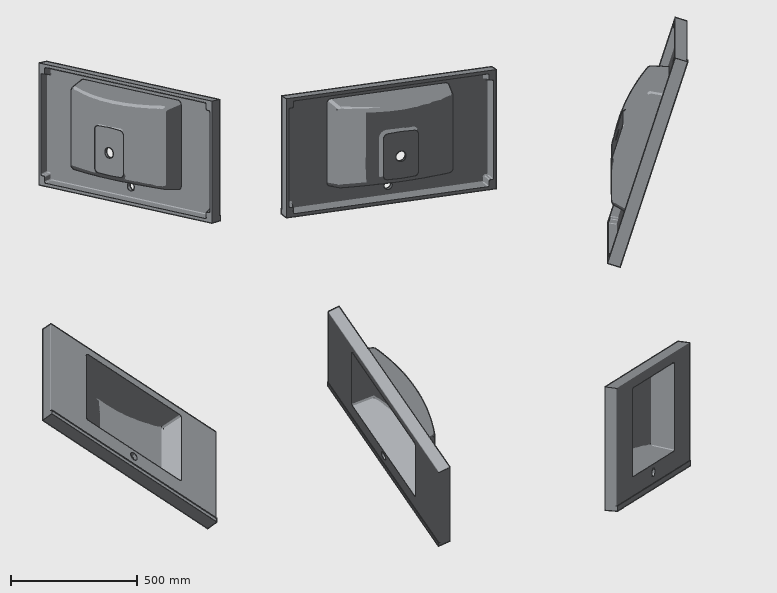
import cadquery as cq
import math

SLAB_WIDTH = 900.0
SLAB_HEIGHT = 500.0
SLAB_THICKNESS = 50.0
TOP_FALL = 3.0
FRONT_EDGE_RADIUS = 4.0
LIP_HEIGHT = 22.0
LIP_PROJECTION = 3.0

RECESS_DEPTH = 32.0
RECESS_DRAFT = 14.0
RECESS_FLOOR_RADIUS = 7.0
RIM_SIDE = 12.0
RIM_END = 13.5
CORNER_BLOCK_WIDTH = 31.0
CORNER_BLOCK_HEIGHT = 41.0
CORNER_BLOCK_RADIUS = 6.0

BOWL_HALF_WIDTH = 256.5
BOWL_TOP = 206.0
BOWL_BOTTOM = -148.5
BOWL_DEPTH = 95.0
BOWL_DRAFT = 11.0
BOWL_CURVE_RADIUS = 638.0
BOWL_EDGE_RADIUS = 19.0
WALL = 7.0

PAD_HALF_WIDTH = 74.0
PAD_TOP = 78.0
PAD_BOTTOM = -108.0
PAD_CORNER_RADIUS = 16.0
PAD_BLEND_RADIUS = 18.0
PAD_FACE = 100.0
PAD_STOCK = 36.0
SEAM_MARGIN = 1.0

DRAIN_DIAMETER = 43.0
DRAIN_Z = -20.0
TAP_DIAMETER = 35.0
TAP_Z = -184.5


def underside_plane(y):
    """Sketch plane facing -Y, with local x along X and local y along Z."""
    return cq.Workplane("XZ", origin=(0, y, 0))


def rectangle(y, half_width, bottom, top):
    """Rectangle centred on X, between two heights, on the plane at y."""
    return underside_plane(y).center(0, (top + bottom) / 2).rect(2 * half_width, top - bottom)


def make_slab():
    """Slab whose top side falls slightly towards the front, with a lip along the bottom."""
    half_height = SLAB_HEIGHT / 2
    profile = [
        (0, -half_height),
        (SLAB_THICKNESS, -half_height),
        (SLAB_THICKNESS, half_height - TOP_FALL),
        (0, half_height),
    ]
    slab = cq.Workplane("YZ").polyline(profile).close().extrude(SLAB_WIDTH / 2, both=True)
    slab = slab.faces(">Y").edges("|Z or >Z").fillet(FRONT_EDGE_RADIUS)
    lip_y = SLAB_THICKNESS + LIP_PROJECTION
    lip = rectangle(lip_y, SLAB_WIDTH / 2, -half_height, LIP_HEIGHT - half_height).extrude(lip_y)
    return slab.union(lip)


def make_recess():
    """Tool for the recess: two crossed rectangles that narrow towards the floor."""
    side = SLAB_WIDTH / 2 - RIM_SIDE
    end = SLAB_HEIGHT / 2 - RIM_END
    block_x = SLAB_WIDTH / 2 - CORNER_BLOCK_WIDTH
    block_z = SLAB_HEIGHT / 2 - CORNER_BLOCK_HEIGHT
    wide = rectangle(0, side, -block_z, block_z).extrude(-RECESS_DEPTH, taper=RECESS_DRAFT)
    tall = rectangle(0, block_x, -end, end).extrude(-RECESS_DEPTH, taper=RECESS_DRAFT)
    recess = wide.union(tall).edges("not #Y").fillet(CORNER_BLOCK_RADIUS)
    return recess.faces(">Y").edges().fillet(RECESS_FLOOR_RADIUS)


def make_bowl(inset):
    """Bowl body shrunk by inset, reaching from the front of the slab to the curved bottom."""
    spread = SLAB_THICKNESS * math.tan(math.radians(BOWL_DRAFT)) - inset
    body = rectangle(
        SLAB_THICKNESS, BOWL_HALF_WIDTH + spread, BOWL_BOTTOM - spread, BOWL_TOP + spread
    ).extrude(SLAB_THICKNESS + BOWL_DEPTH, taper=BOWL_DRAFT)
    radius = BOWL_CURVE_RADIUS - inset
    curve = (
        cq.Workplane("XY", origin=(0, BOWL_CURVE_RADIUS - BOWL_DEPTH, -SLAB_HEIGHT / 2))
        .circle(radius)
        .extrude(SLAB_HEIGHT)
    )
    return body.intersect(curve).edges("not >Y").fillet(BOWL_EDGE_RADIUS - inset)


def add_pad(bowl):
    """Blend a tall boss into the bowl bottom, then level it at the pad face."""
    boss = (
        rectangle(0, PAD_HALF_WIDTH, PAD_BOTTOM, PAD_TOP)
        .extrude(PAD_FACE + PAD_STOCK)
        .edges("|Y")
        .fillet(PAD_CORNER_RADIUS)
    )
    joined = bowl.union(boss)
    shallowest = -BOWL_DEPTH + PAD_BLEND_RADIUS
    seam = cq.selectors.BoxSelector(
        (-PAD_HALF_WIDTH - SEAM_MARGIN, shallowest, PAD_BOTTOM - SEAM_MARGIN),
        (PAD_HALF_WIDTH + SEAM_MARGIN, -BOWL_DEPTH - SEAM_MARGIN, PAD_TOP + SEAM_MARGIN),
        boundingbox=True,
    )
    blended = joined.edges(seam).fillet(PAD_BLEND_RADIUS)
    surplus = rectangle(-PAD_FACE, PAD_HALF_WIDTH * 2, 2 * PAD_BOTTOM, 2 * PAD_TOP).extrude(PAD_STOCK)
    return blended.cut(surplus)


def hole(diameter, z):
    """Round cutter through the full depth of the part."""
    length = SLAB_THICKNESS + LIP_PROJECTION
    return underside_plane(length).center(0, z).circle(diameter / 2).extrude(length + PAD_FACE)


bowl = add_pad(make_bowl(0))
result = make_slab().cut(make_recess()).union(bowl).cut(make_bowl(WALL))
result = result.cut(hole(DRAIN_DIAMETER, DRAIN_Z)).cut(hole(TAP_DIAMETER, TAP_Z))